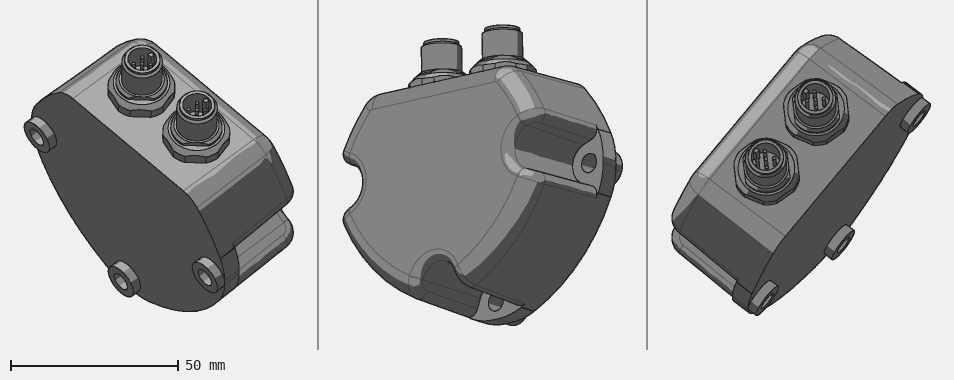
import cadquery as cq
import math

HALF_WIDTH = 42.0
FLAT_Z = 28.1
FLANK_RADIUS = 60.0
FLANK_CENTRE = 14.65
LOBE_RADIUS = 21.7
SHOULDER_RADIUS = 8.0

BODY_DEPTH = 34.9
FLANGE_DEPTH = 6.0
FLANGE_WIDTH = 19.9
DRAFT = 1.5
RIM_FILLET = 6.0

BOLT_CIRCLE = 36.5
FOOT_RADIUS = 5.5
FOOT_HEIGHT = 3.0
HOLE_RADIUS = 2.9
RECESS_RADIUS = 6.4
RECESS_FLARE = 20.0
RECESS_REACH = 12.85
MOUTH_X = 38.6
MOUTH_HALF_WIDTH = 8.6
RECESS_FILLET = 3.0
BOLT_ANGLES = (0, 90, 180)

CONNECTOR_X = 11.9
CONNECTOR_Y = 16.8
NUT_ACROSS_FLATS = 19.0
NUT_CORNER_RADIUS = 10.0
NUT_TURN = 15.0
NUT_EDGE_HEIGHT = 2.9
NUT_HEIGHT = 4.6
NUT_TOP_RADIUS = 8.5
COLLAR_RADIUS = 7.7
COLLAR_TOP_RADIUS = 6.8
COLLAR_EDGE_HEIGHT = 5.3
COLLAR_HEIGHT = 6.2
COLLAR_FLATS = 13.4
COLLAR_TURN = 135.0
BARREL_RADIUS = 6.1
BARREL_HEIGHT = 14.4
TIP_RADIUS = 5.3
TIP_START = 15.1
SOCKET_RADIUS = 4.3
SOCKET_DEPTH = 8.6
PIN_RADIUS = 0.5
PIN_OFFSET = 1.8
PIN_RECESS = 2.3
KEY_WIDTH = 1.4
KEY_INNER = 3.0
KEY_RECESS = 1.0
ROOT_DEPTH = 0.85

OVERALL_HEIGHT = 85.7
LEAN = math.radians(DRAFT)
CONNECTOR_BASE_Z = FLAT_Z - CONNECTOR_Y * math.tan(LEAN)
RIM_RISE = TIP_RADIUS * math.sin(LEAN)
TIP_HEIGHT = (OVERALL_HEIGHT - HALF_WIDTH - CONNECTOR_BASE_Z - RIM_RISE) / math.cos(LEAN)


def plan(y=0.0):
    """Workplane facing +Y whose local axes are Z and X."""
    return cq.Workplane("ZX", origin=(0, y, 0))


def bowed_prism(depth):
    """Straight prism bounded by four bowed flanks and the flat connector wall."""
    span = 2 * FLANK_RADIUS
    prism = plan().rect(span, span).extrude(depth)
    for side_x in (-1, 1):
        for side_z in (-1, 1):
            flank = plan().center(side_z * FLANK_CENTRE, side_x * FLANK_CENTRE)
            prism = prism.intersect(flank.circle(FLANK_RADIUS).extrude(depth))
    prism = prism.cut(plan().center(FLAT_Z + span / 2, 0).rect(span, span).extrude(depth))
    return prism.edges("|Y and >Z").fillet(SHOULDER_RADIUS)


def at_bolt(shape, angle):
    """Carry a shape made for the +X bolt round the Y axis."""
    return shape.rotate((0, 0, 0), (0, 1, 0), angle)


def lobe_block(outer_x):
    """Block of flange depth at the +X bolt, ending at outer_x."""
    inner_x = HALF_WIDTH / 2
    centred = plan().center(0, (outer_x + inner_x) / 2)
    return centred.rect(FLANGE_WIDTH, outer_x - inner_x).extrude(FLANGE_DEPTH)


def lobe():
    """Undrafted rounded end of the outline below the recess of the +X bolt."""
    block = lobe_block(HALF_WIDTH)
    for side_z in (-1, 1):
        flank = plan().center(side_z * FLANK_CENTRE, -FLANK_CENTRE)
        block = block.intersect(flank.circle(FLANK_RADIUS).extrude(FLANGE_DEPTH))
    return block.edges("|Y and >X").fillet(LOBE_RADIUS)


def recess():
    """Flared screw recess above the flange, widening with the draft."""
    flare = math.radians(RECESS_FLARE)
    arc_x = BOLT_CIRCLE - RECESS_RADIUS * math.sin(flare)
    arc_z = RECESS_RADIUS * math.cos(flare)
    mouth_x = BOLT_CIRCLE + RECESS_REACH
    mouth_z = arc_z + (mouth_x - arc_x) * math.tan(flare)
    return (
        plan(FLANGE_DEPTH)
        .moveTo(-mouth_z, mouth_x)
        .lineTo(-arc_z, arc_x)
        .threePointArc((0, BOLT_CIRCLE - RECESS_RADIUS), (arc_z, arc_x))
        .lineTo(mouth_z, mouth_x)
        .close()
        .extrude(BODY_DEPTH, taper=-DRAFT)
    )


def mouth_corners(angle):
    """Selector for the two upright edges where a recess breaks through the wall."""
    selector = None
    for side_z in (-1, 1):
        corner = cq.Vertex.makeVertex(MOUTH_X, BODY_DEPTH / 2, side_z * MOUTH_HALF_WIDTH)
        near = cq.selectors.NearestToPointSelector(at_bolt(corner, angle).toTuple())
        selector = near if selector is None else selector + near
    return selector


def housing():
    """Drafted body with rounded rim, screw recesses and flange lobes."""
    outline = bowed_prism(BODY_DEPTH).faces("<Y").wires().vals()
    body = plan().add(outline).toPending().extrude(BODY_DEPTH, taper=DRAFT)
    body = body.faces(">Y").edges().fillet(RIM_FILLET)
    for angle in BOLT_ANGLES:
        body = body.cut(at_bolt(recess(), angle))
    for angle in BOLT_ANGLES:
        body = body.edges(mouth_corners(angle)).fillet(RECESS_FILLET)
    for angle in BOLT_ANGLES:
        body = body.cut(at_bolt(lobe_block(HALF_WIDTH + RECESS_REACH), angle))
        body = body.union(at_bolt(lobe(), angle))
    return body


def foot():
    """Spacer foot under the +X bolt."""
    return plan(-FOOT_HEIGHT).center(0, BOLT_CIRCLE).circle(FOOT_RADIUS).extrude(FOOT_HEIGHT)


def bolt_hole():
    """Screw hole through foot and flange, opening into the recess."""
    depth = FOOT_HEIGHT + FLANGE_DEPTH
    return plan(-FOOT_HEIGHT).center(0, BOLT_CIRCLE).circle(HOLE_RADIUS).extrude(depth)


def turned_profile(points):
    """Solid of revolution about Z from (radius, height) points."""
    return cq.Workplane("XZ").polyline([(0, points[0][1]), *points, (0, points[-1][1])]).close().revolve()


def connector():
    """Connector standing on the XY plane with its axis along Z."""
    nut = turned_profile([
        (NUT_CORNER_RADIUS, -ROOT_DEPTH),
        (NUT_CORNER_RADIUS, NUT_EDGE_HEIGHT),
        (NUT_TOP_RADIUS, NUT_HEIGHT),
    ])
    hexagon = cq.Workplane("XY", origin=(0, 0, -ROOT_DEPTH)).polygon(6, NUT_ACROSS_FLATS, circumscribed=True)
    hexagon = hexagon.extrude(2 * NUT_HEIGHT).rotate((0, 0, 0), (0, 0, 1), NUT_TURN)
    collar = turned_profile([
        (COLLAR_RADIUS, 0),
        (COLLAR_RADIUS, COLLAR_EDGE_HEIGHT),
        (COLLAR_TOP_RADIUS, COLLAR_HEIGHT),
    ])
    flats = cq.Workplane("XY").rect(COLLAR_FLATS, 2 * COLLAR_RADIUS).extrude(COLLAR_HEIGHT)
    flats = flats.rotate((0, 0, 0), (0, 0, 1), COLLAR_TURN)
    barrel = turned_profile([
        (BARREL_RADIUS, 0),
        (BARREL_RADIUS, BARREL_HEIGHT),
        (TIP_RADIUS, TIP_START),
        (TIP_RADIUS, TIP_HEIGHT),
    ])
    floor = cq.Workplane("XY", origin=(0, 0, TIP_HEIGHT - SOCKET_DEPTH))
    shell = nut.intersect(hexagon).union(collar.intersect(flats)).union(barrel)
    shell = shell.cut(floor.circle(SOCKET_RADIUS).extrude(SOCKET_DEPTH))

    pin_spots = [(x * PIN_OFFSET, y * PIN_OFFSET) for x in (-1, 1) for y in (-1, 1)]
    pins = floor.pushPoints([(0, 0), *pin_spots]).circle(PIN_RADIUS).extrude(SOCKET_DEPTH - PIN_RECESS)
    key_outer = (SOCKET_RADIUS + TIP_RADIUS) / 2
    key = floor.center(0, (KEY_INNER + key_outer) / 2).rect(KEY_WIDTH, key_outer - KEY_INNER)
    return shell.union(pins).union(key.extrude(SOCKET_DEPTH - KEY_RECESS))


def mounted_connector(x):
    """Connector leaning with the drafted wall it stands on."""
    leaning = connector().rotate((0, 0, 0), (1, 0, 0), -DRAFT)
    return leaning.translate((x, CONNECTOR_Y, CONNECTOR_BASE_Z))


result = housing()
for angle in BOLT_ANGLES:
    result = result.union(at_bolt(foot(), angle)).cut(at_bolt(bolt_hole(), angle))
for x in (-CONNECTOR_X, CONNECTOR_X):
    result = result.union(mounted_connector(x))